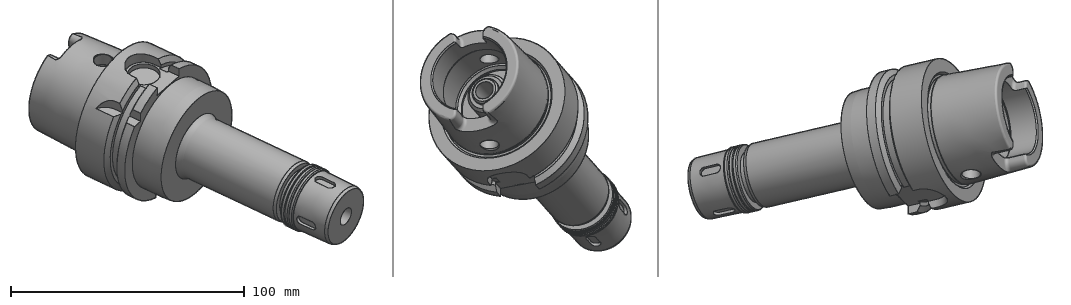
import cadquery as cq
import math

total_length = 152.0
taper_end = 29.8
undercut_start = 30.9
flange_face = 31.6
flange_end = 57.8
body_taper_start = 67.8
body_end = 72.8
neck_end = 125.1
nut_start = 127.8
nut_band_end = 134.4

nose_radius = 22.8
taper_radius = 24.0
undercut_radius = 23.5
undercut_depth = 0.9
undercut_face_radius = 25.5
nose_round = 1.0
mouth_radius = 17.0
mouth_chamfer = 0.6
mouth_depth = 12.6
recess_radius = 18.0
recess_flare = 0.9
recess_end = 28.9
stop_radius = 15.8
bore_floor = 31.2

slot_half_width = 6.1
slot_flare = 3.0
slot_flare_start = 18.0
slot_floor_round = 1.5
slot_mouth_round = 1.0
slot_margin = 3.0
top_slot_depth = 6.2
bottom_slot_depth = 9.7

union_face = 19.6
union_radius = 9.0
union_chamfer = 1.2
tube_tip = 17.5
tube_radius = 6.0
tube_chamfer = 0.8
through_diameter = 8.0

access_x = 23.3
access_diameter = 8.0
access_rim_diameter = 9.0

flange_radius = 31.5
groove_start = 46.7
groove_end = 53.5
groove_floor_radius = 27.2
groove_bevel_depth = 2.6
groove_bevel_length = groove_bevel_depth * math.tan(math.radians(30))

keyway_center_x = 44.5
keyway_floor = 26.3
top_keyway_width = 15.8
bottom_keyway_width = 18.0
chip_diameter = 14.0
chip_x = 44.8
chip_depth = 2.3
notch_offset = 19.9

body_radius = 26.0
body_end_radius = 25.7
neck_radius = 14.06
neck_root_radius = 4.5
neck_root_length = 3.0
neck_chamfer = 1.4
neck_chamfer_depth = 0.5
collar_radius = 11.17

nut_band_radius = 14.52
nut_radius = 13.8
nut_end_radius = 13.5
nut_chamfer_length = 1.4
nut_chamfer_depth = 0.6
nut_band_bevel_length = 0.6
nut_band_bevel_depth = 0.3
nut_groove_depth = 0.5
nut_groove_starts_and_widths = ((129.7, 0.6), (131.5, 1.0))
nut_slot_start = 136.0
nut_slot_length = 9.9
nut_slot_width = 4.3
nut_slot_floor = 12.2
nut_slot_count = 4


def turned(profile):
    """Close an XY outline and revolve it about the X axis."""
    return profile.close().revolve(360, (0, 0, 0), (1, 0, 0))


def make_outside():
    """Solid of revolution from the nose to the end of the clamping nut."""
    root_end = body_end + neck_root_length

    def root_height(distance):
        return neck_radius + neck_root_radius - math.sqrt(neck_root_radius**2 - distance**2)

    middle = neck_root_length / 2
    band_edge_radius = nut_band_radius - nut_band_bevel_depth
    outline = (
        cq.Workplane("XY")
        .lineTo(0, nose_radius)
        .lineTo(taper_end, taper_radius)
        .lineTo(undercut_start, taper_radius)
        .lineTo(undercut_start, undercut_radius)
        .lineTo(flange_face + undercut_depth, undercut_radius)
        .lineTo(flange_face + undercut_depth, undercut_face_radius - undercut_depth)
        .lineTo(flange_face, undercut_face_radius)
        .lineTo(flange_face, flange_radius)
        .lineTo(groove_start, flange_radius)
        .lineTo(groove_start + groove_bevel_length, flange_radius - groove_bevel_depth)
        .lineTo(groove_start + groove_bevel_length, groove_floor_radius)
        .lineTo(groove_end - groove_bevel_length, groove_floor_radius)
        .lineTo(groove_end - groove_bevel_length, flange_radius - groove_bevel_depth)
        .lineTo(groove_end, flange_radius)
        .lineTo(flange_end, flange_radius)
        .lineTo(flange_end, body_radius)
        .lineTo(body_taper_start, body_radius)
        .lineTo(body_end, body_end_radius)
        .lineTo(body_end, root_height(neck_root_length))
        .threePointArc((root_end - middle, root_height(middle)), (root_end, neck_radius))
        .lineTo(neck_end - neck_chamfer, neck_radius)
        .lineTo(neck_end, neck_radius - neck_chamfer_depth)
        .lineTo(neck_end, collar_radius)
        .lineTo(nut_start, collar_radius)
        .lineTo(nut_start, band_edge_radius)
        .lineTo(nut_start + nut_band_bevel_length, nut_band_radius)
        .lineTo(nut_band_end - nut_band_bevel_length, nut_band_radius)
        .lineTo(nut_band_end, band_edge_radius)
        .lineTo(nut_band_end, nut_radius)
        .lineTo(total_length - nut_chamfer_length, nut_end_radius)
        .lineTo(total_length, nut_end_radius - nut_chamfer_depth)
        .lineTo(total_length, 0)
    )
    return turned(outline)


def make_bore():
    """Hollow of the shank: mouth, wider clamping recess and conical stop."""
    stop_length = mouth_radius - stop_radius
    outline = (
        cq.Workplane("XY")
        .lineTo(0, mouth_radius + mouth_chamfer)
        .lineTo(mouth_chamfer, mouth_radius)
        .lineTo(mouth_depth, mouth_radius)
        .lineTo(mouth_depth + recess_flare, recess_radius)
        .lineTo(recess_end, recess_radius)
        .lineTo(recess_end, mouth_radius)
        .lineTo(recess_end + stop_length, stop_radius)
        .lineTo(bore_floor, stop_radius)
        .lineTo(bore_floor, 0)
    )
    return turned(outline)


def make_coolant_tube():
    outline = (
        cq.Workplane("XY")
        .moveTo(tube_tip, 0)
        .lineTo(tube_tip, tube_radius - tube_chamfer)
        .lineTo(tube_tip + tube_chamfer, tube_radius)
        .lineTo(union_face, tube_radius)
        .lineTo(union_face, union_radius - union_chamfer)
        .lineTo(union_face + union_chamfer, union_radius)
        .lineTo(bore_floor, union_radius)
        .lineTo(bore_floor, 0)
    )
    return turned(outline)


def make_drive_slot(depth):
    """Slot through the +Z wall of the nose, flared at the outside and rounded at its mouth."""
    flare_end = slot_flare_start + slot_flare
    flare_half_width = slot_half_width + slot_flare
    outer_half_width = flare_half_width + slot_margin
    slot_top = taper_radius + slot_margin
    diagonal = slot_flare * math.sqrt(0.5)
    profile = (
        cq.Workplane("YZ")
        .moveTo(-slot_half_width, 0)
        .lineTo(slot_half_width, 0)
        .lineTo(slot_half_width, slot_flare_start)
        .threePointArc(
            (flare_half_width - diagonal, slot_flare_start + diagonal),
            (flare_half_width, flare_end),
        )
        .lineTo(outer_half_width, flare_end)
        .lineTo(outer_half_width, slot_top)
        .lineTo(-outer_half_width, slot_top)
        .lineTo(-outer_half_width, flare_end)
        .lineTo(-flare_half_width, flare_end)
        .threePointArc(
            (diagonal - flare_half_width, slot_flare_start + diagonal),
            (-slot_half_width, slot_flare_start),
        )
        .close()
    )
    block = cq.Workplane("YZ").rect(4 * outer_half_width, 2 * slot_top).extrude(-slot_margin)
    slot = block.union(profile.extrude(depth))

    reach = 0.2
    mouth = cq.selectors.BoxSelector(
        (-reach, -flare_half_width - reach, reach),
        (reach, flare_half_width + reach, flare_end + reach),
    )
    floor = cq.selectors.BoxSelector(
        (depth - reach, -outer_half_width, reach),
        (depth + reach, outer_half_width, slot_top - reach),
    )
    slot = slot.edges(mouth).fillet(slot_mouth_round)
    return slot.edges(floor).fillet(slot_floor_round)


def make_keyway(width, floor, center_y=0.0):
    """Round-ended channel open towards +X, cut down from above to the floor height."""
    height = flange_radius - floor
    length = flange_end - keyway_center_x
    plane = cq.Workplane("XY", origin=(keyway_center_x, center_y, floor))
    channel = plane.rect(length, width).extrude(height).translate((length / 2, 0, 0))
    return channel.union(plane.circle(width / 2).extrude(height))


def make_access_hole():
    rim_radius = access_rim_diameter / 2
    hole_radius = access_diameter / 2
    surface = nose_radius + (taper_radius - nose_radius) * access_x / taper_end
    chamfer = rim_radius - hole_radius
    profile = (
        cq.Workplane("XZ")
        .moveTo(0, stop_radius)
        .lineTo(hole_radius, stop_radius)
        .lineTo(hole_radius, surface - chamfer)
        .lineTo(rim_radius, surface)
        .lineTo(rim_radius + chamfer, surface + chamfer)
        .lineTo(0, surface + chamfer)
        .close()
    )
    return profile.revolve(360, (0, 0, 0), (0, 1, 0)).translate((access_x, 0, 0))


def make_nut_groove(start, width):
    """V-shaped ring cut into the band of the clamping nut."""
    outline = (
        cq.Workplane("XY")
        .moveTo(start, nut_band_radius)
        .lineTo(start + width / 2, nut_band_radius - nut_groove_depth)
        .lineTo(start + width, nut_band_radius)
    )
    return turned(outline)


def make_nut_slot():
    center_x = nut_slot_start + nut_slot_length / 2
    plane = cq.Workplane("XY", origin=(center_x, 0, nut_slot_floor))
    return plane.slot2D(nut_slot_length, nut_slot_width).extrude(nut_band_radius - nut_slot_floor)


def to_underside(shape):
    return shape.rotate((0, 0, 0), (1, 0, 0), 180)


part = make_outside()
part = part.faces("<X").edges().fillet(nose_round)
for slot in (make_drive_slot(top_slot_depth), to_underside(make_drive_slot(bottom_slot_depth))):
    part = part.cut(slot)
part = part.cut(make_bore())

part = part.cut(make_access_hole())
part = part.cut(to_underside(make_access_hole()))

part = part.cut(make_keyway(top_keyway_width, keyway_floor))
part = part.cut(to_underside(make_keyway(bottom_keyway_width, keyway_floor)))
chip_plane = cq.Workplane("XY", origin=(chip_x, 0, keyway_floor - chip_depth))
part = part.cut(chip_plane.circle(chip_diameter / 2).extrude(chip_depth))

notch_center_y = -notch_offset - top_keyway_width / 2
part = part.cut(make_keyway(top_keyway_width, notch_offset, notch_center_y))

for start, width in nut_groove_starts_and_widths:
    part = part.cut(make_nut_groove(start, width))

for index in range(nut_slot_count):
    angle = 360 / nut_slot_count * index
    part = part.cut(make_nut_slot().rotate((0, 0, 0), (1, 0, 0), angle))

part = part.union(make_coolant_tube())
result = part.cut(cq.Workplane("YZ").circle(through_diameter / 2).extrude(total_length))